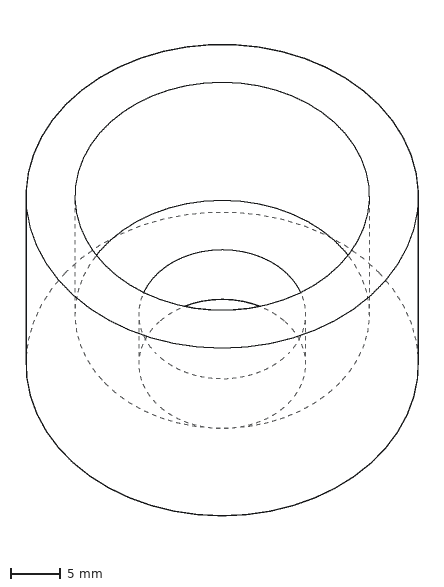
import cadquery as cq

outer_diameter = 40.0
height = 27.0
wall_thickness = 5.0
floor_thickness = 8.0
hole_diameter = 17.0

bore_diameter = outer_diameter - 2 * wall_thickness
bore_depth = height - floor_thickness

body = cq.Workplane("XY").circle(outer_diameter / 2).extrude(height)

result = body.faces(">Z").workplane().cboreHole(hole_diameter, bore_diameter, bore_depth)